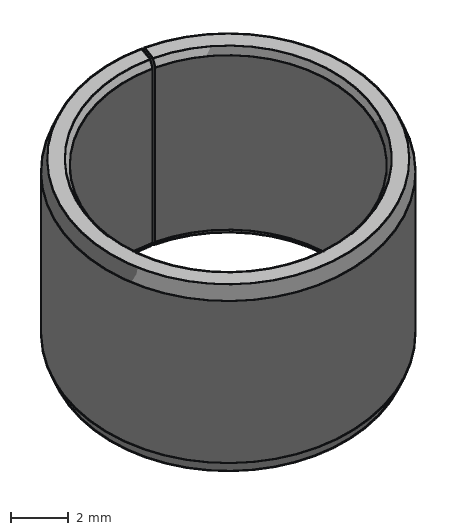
import cadquery as cq
import math

outer_diameter = 13.0
inner_diameter = 11.0
height = 9.0

outer_chamfer_length = 0.6
outer_chamfer_angle = 20.0
inner_chamfer_length = 0.3
inner_chamfer_angle = 30.0

split_width = 0.1

outer_radius = outer_diameter / 2
inner_radius = inner_diameter / 2
half_height = height / 2
outer_chamfer_depth = outer_chamfer_length * math.tan(math.radians(outer_chamfer_angle))
inner_chamfer_depth = inner_chamfer_length * math.tan(math.radians(inner_chamfer_angle))


def make_sleeve():
    """Revolve the chamfered wall section around Z."""
    end_outer_radius = outer_radius - outer_chamfer_depth
    end_inner_radius = inner_radius + inner_chamfer_depth
    outer_shoulder = half_height - outer_chamfer_length
    inner_shoulder = half_height - inner_chamfer_length
    section = [
        (inner_radius, -inner_shoulder),
        (end_inner_radius, -half_height),
        (end_outer_radius, -half_height),
        (outer_radius, -outer_shoulder),
        (outer_radius, outer_shoulder),
        (end_outer_radius, half_height),
        (end_inner_radius, half_height),
        (inner_radius, inner_shoulder),
    ]
    return cq.Workplane("XZ").polyline(section).close().revolve(360, (0, 0), (0, 1))


def make_split():
    """Thin slab that cuts the wall on the -X side over the full height."""
    return cq.Workplane("XY").box(
        outer_radius, split_width, height, centered=(False, False, True)
    ).translate((-outer_radius, 0, 0))


result = make_sleeve().cut(make_split())